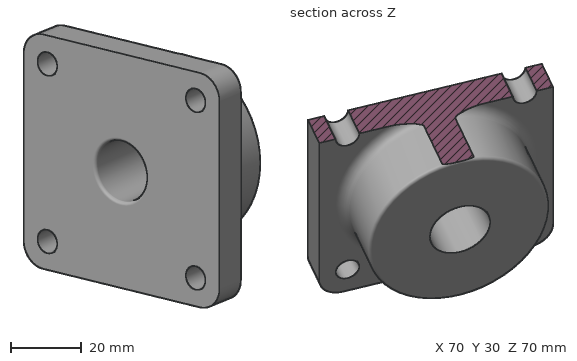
import cadquery as cq

flange_size = 70.0
flange_thickness = 10.0
corner_radius = 7.0

boss_diameter = 54.0
total_depth = 30.0
boss_height = total_depth - flange_thickness
boss_root_fillet = 3.0
boss_rim_fillet = 1.0

bore_diameter = 18.0
bore_mouth_fillet = 1.0
bore_offset_x = -0.32
bore_offset_z = -0.27

mount_hole_diameter = 7.0
mount_hole_spacing = 53.0


def sketch_at(y):
    """Workplane parallel to XZ at the given Y, with its normal along +Y."""
    return cq.Workplane(cq.Plane(origin=(0, y, 0), xDir=(1, 0, 0), normal=(0, 1, 0)))


def make_flange():
    flange = sketch_at(0).rect(flange_size, flange_size).extrude(flange_thickness)
    return flange.edges("|Y").fillet(corner_radius)


def add_boss(body):
    boss = sketch_at(flange_thickness).circle(boss_diameter / 2).extrude(boss_height)
    boss = boss.faces(">Y").edges().fillet(boss_rim_fillet)
    body = body.union(boss)
    root_center = (0, flange_thickness, 0)
    return body.edges(cq.selectors.NearestToPointSelector(root_center)).fillet(boss_root_fillet)


def cut_bore(body):
    bore_sketch = sketch_at(0).center(bore_offset_x, -bore_offset_z)
    bore = bore_sketch.circle(bore_diameter / 2).extrude(total_depth)
    body = body.cut(bore)
    mouth_center = (bore_offset_x, 0, bore_offset_z)
    mouth = body.faces("<Y").edges(cq.selectors.NearestToPointSelector(mouth_center))
    return mouth.fillet(bore_mouth_fillet)


def cut_mount_holes(body):
    hole_centers = sketch_at(0).rect(mount_hole_spacing, mount_hole_spacing, forConstruction=True).vertices()
    holes = hole_centers.circle(mount_hole_diameter / 2).extrude(flange_thickness)
    return body.cut(holes)


flange = make_flange()
flange_with_boss = add_boss(flange)
bored_body = cut_bore(flange_with_boss)
result = cut_mount_holes(bored_body)